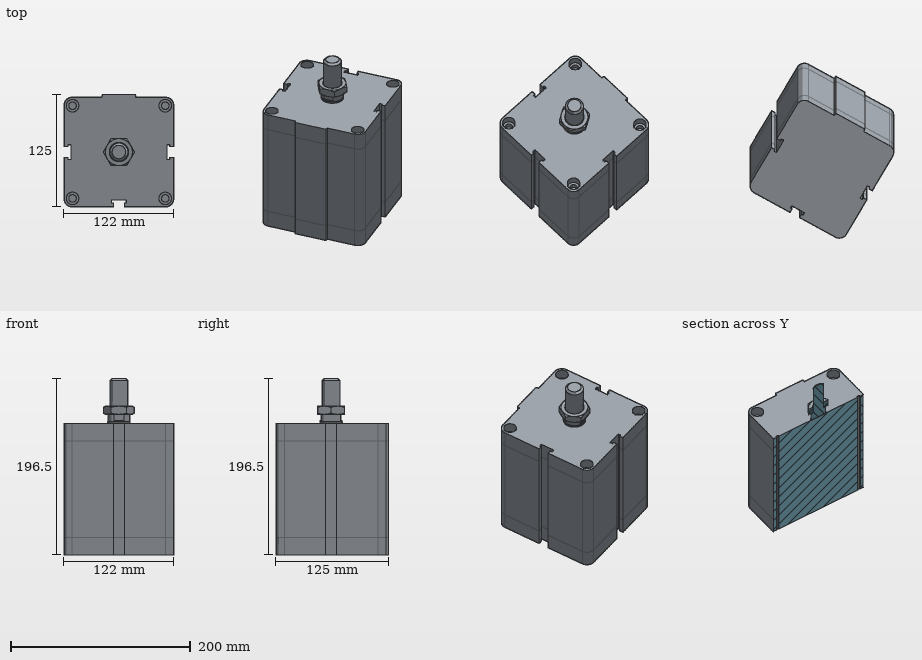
import cadquery as cq
import math

HOUSING_WIDTH = 122.0
HOUSING_HEIGHT = 146.5
CORNER_RADIUS = 9.0
CAP_HEIGHT = 19.5
BARREL_HEIGHT = HOUSING_HEIGHT - 2 * CAP_HEIGHT

PAD_BASE_WIDTH = 38.0
PAD_TOP_WIDTH = 37.0
PAD_HEIGHT = 3.0

SLOT_NECK_WIDTH = 12.0
SLOT_INNER_WIDTH = 16.2
SLOT_LIP_DEPTH = 4.5
SLOT_DEPTH = 7.5
SLOT_ANGLES = (0, -90, 180)

SCREW_PITCH = 103.0
SCREW_HEAD_DIAMETER = 14.0
SCREW_HEAD_DEPTH = 12.0
SCREW_HOLE_DIAMETER = 8.38
SCREW_HOLE_DEPTH = CAP_HEIGHT

ROD_LENGTH = 50.0
GUIDE_DIAMETER = 25.0
GUIDE_HEIGHT = 1.5
COLLAR_DIAMETER = 24.5
COLLAR_START = 2.0
COLLAR_TOP = 10.0
FLATS_WIDTH = 22.0
FLATS_START = 3.0
THREAD_DIAMETER = 20.0
TIP_CHAMFER = 2.5

NUT_ACROSS_FLATS = 30.0
NUT_HEIGHT = 9.0
NUT_CHAMFER_ANGLE = 30.0
NUT_FACE_DIAMETER = NUT_ACROSS_FLATS
NUT_COUNTERSINK_DIAMETER = 21.5


def housing_segment(height):
    """Prism of the housing profile: rounded square with a pad on its +Y side."""
    square = cq.Workplane("XY").rect(HOUSING_WIDTH, HOUSING_WIDTH).extrude(height)
    square = square.edges("|Z").fillet(CORNER_RADIUS)
    side = HOUSING_WIDTH / 2
    pad = (
        cq.Workplane("XY")
        .polyline([
            (-PAD_BASE_WIDTH / 2, side),
            (PAD_BASE_WIDTH / 2, side),
            (PAD_TOP_WIDTH / 2, side + PAD_HEIGHT),
            (-PAD_TOP_WIDTH / 2, side + PAD_HEIGHT),
        ])
        .close()
        .extrude(height)
    )
    segment = square.union(pad)
    for angle in SLOT_ANGLES:
        segment = segment.cut(t_slot(height, angle))
    return segment


def t_slot(height, angle):
    """T-shaped groove along Z, opening at the side that faces the given angle."""
    side = HOUSING_WIDTH / 2
    neck = cq.Workplane("XY").center(side, 0).rect(2 * SLOT_DEPTH, SLOT_NECK_WIDTH).extrude(height)
    inner_depth = SLOT_DEPTH - SLOT_LIP_DEPTH
    inner = (
        cq.Workplane("XY")
        .center(side - SLOT_LIP_DEPTH - inner_depth / 2, 0)
        .rect(inner_depth, SLOT_INNER_WIDTH)
        .extrude(height)
    )
    return neck.union(inner).rotate((0, 0, 0), (0, 0, 1), angle)


def make_housing():
    """One solid; the cap and barrel lengths stay marked by seams on its sides."""
    body = housing_segment(CAP_HEIGHT)
    lower_height = CAP_HEIGHT
    for height in (BARREL_HEIGHT, CAP_HEIGHT):
        segment = housing_segment(height).translate((0, 0, lower_height))
        body = body.union(segment, clean=False)
        lower_height += height
    screw_holes = (
        cq.Workplane("XY", origin=(0, 0, HOUSING_HEIGHT))
        .rect(SCREW_PITCH, SCREW_PITCH, forConstruction=True)
        .vertices()
    )
    heads = screw_holes.circle(SCREW_HEAD_DIAMETER / 2).extrude(-SCREW_HEAD_DEPTH)
    shanks = screw_holes.circle(SCREW_HOLE_DIAMETER / 2).extrude(-SCREW_HOLE_DEPTH)
    return body.cut(heads, clean=False).cut(shanks, clean=False)


def make_rod():
    """Stepped rod standing on the housing, with wrench flats on its collar."""
    guide_radius = GUIDE_DIAMETER / 2
    collar_radius = COLLAR_DIAMETER / 2
    thread_radius = THREAD_DIAMETER / 2
    rod = (
        cq.Workplane("XZ")
        .polyline([
            (0, 0),
            (guide_radius, 0),
            (guide_radius, GUIDE_HEIGHT),
            (collar_radius, COLLAR_START),
            (collar_radius, COLLAR_TOP),
            (thread_radius, COLLAR_TOP),
            (thread_radius, ROD_LENGTH - TIP_CHAMFER),
            (thread_radius - TIP_CHAMFER, ROD_LENGTH),
            (0, ROD_LENGTH),
        ])
        .close()
        .revolve(360, (0, 0, 0), (0, 1, 0))
    )
    flat_cut_depth = COLLAR_DIAMETER - FLATS_WIDTH
    for direction in (-1, 1):
        flat_cut = (
            cq.Workplane("XY", origin=(0, direction * (FLATS_WIDTH + flat_cut_depth) / 2, FLATS_START))
            .rect(COLLAR_DIAMETER, flat_cut_depth)
            .extrude(COLLAR_TOP - FLATS_START)
        )
        rod = rod.cut(flat_cut)
    return rod.translate((0, 0, HOUSING_HEIGHT))


def make_nut():
    """Hexagon nut with both ends turned conical, resting on the rod collar."""
    corner_radius = NUT_ACROSS_FLATS / 2 / math.cos(math.pi / 6)
    face_radius = NUT_FACE_DIAMETER / 2
    cone_drop = (corner_radius - face_radius) * math.tan(math.radians(NUT_CHAMFER_ANGLE))
    hexagon = cq.Workplane("XY").polygon(6, 2 * corner_radius).extrude(NUT_HEIGHT)
    turned_blank = (
        cq.Workplane("XZ")
        .polyline([
            (0, 0),
            (face_radius, 0),
            (corner_radius, cone_drop),
            (corner_radius, NUT_HEIGHT - cone_drop),
            (face_radius, NUT_HEIGHT),
            (0, NUT_HEIGHT),
        ])
        .close()
        .revolve(360, (0, 0, 0), (0, 1, 0))
    )
    bore = cq.Workplane("XY").circle(THREAD_DIAMETER / 2).extrude(NUT_HEIGHT)
    countersink = (NUT_COUNTERSINK_DIAMETER - THREAD_DIAMETER) / 2
    nut = hexagon.intersect(turned_blank).cut(bore)
    nut = nut.edges(cq.selectors.RadiusNthSelector(0)).chamfer(countersink)
    return nut.translate((0, 0, HOUSING_HEIGHT + COLLAR_TOP))


housing = make_housing()
rod = make_rod()
nut = make_nut()

result = cq.Compound.makeCompound([housing.val(), rod.val(), nut.val()])